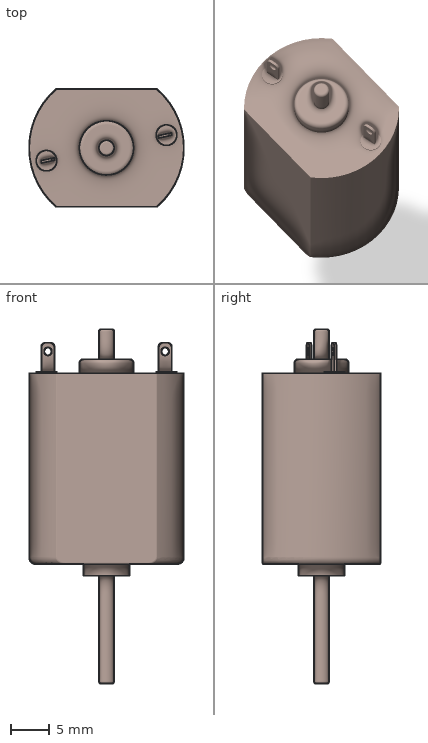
import cadquery as cq
import math

can_diameter = 20.25
can_width = 15.4
can_height = 24.95
flat_edge_radius = 0.25
can_bottom_radius = 0.93

top_boss_diameter = 7.1
top_boss_height = 1.8
top_boss_radius = 0.5
bottom_boss_diameter = 6
bottom_boss_height = 1.55
bottom_boss_radius = 0.1
shaft_diameter = 2.0
shaft_length = 46.3
shaft_top = 5.75
shaft_end_radius = 0.32

insulator_diameter = 2.7
insulator_height = 0.15
insulator_radial_place = 8.0
terminal_angle = math.degrees(math.atan2(3.6, 16.9))
tab_radial_place = 7.82
tab_width = 1.75
tab_thickness = 0.32
tab_height = 4.0
tab_corner_radius = 0.65
eyelet_diameter = 1.0
eyelet_height = 2.82


def make_can():
    flats = cq.Workplane("XY").box(can_diameter, can_width, can_height, centered=(True, True, False))
    can = cq.Workplane("XY").circle(can_diameter / 2).extrude(can_height)
    can = can.faces("<Z").edges().fillet(can_bottom_radius)
    can = can.intersect(flats)
    can = can.faces("<Y or >Y").edges("not >Z").fillet(flat_edge_radius)
    return can.translate((0, 0, -can_height))


def make_top_boss():
    boss = cq.Workplane("XY").circle(top_boss_diameter / 2).extrude(top_boss_height)
    return boss.faces(">Z").edges().fillet(top_boss_radius)


def make_bottom_boss():
    plane = cq.Workplane("XY").workplane(offset=-can_height)
    boss = plane.circle(bottom_boss_diameter / 2).extrude(-bottom_boss_height)
    return boss.faces("<Z").edges().fillet(bottom_boss_radius)


def make_shaft():
    plane = cq.Workplane("XY").workplane(offset=shaft_top - shaft_length)
    shaft = plane.circle(shaft_diameter / 2).extrude(shaft_length)
    return shaft.faces("<Z or >Z").edges().fillet(shaft_end_radius)


def make_terminal(angle):
    insulator = (
        cq.Workplane("XY")
        .center(insulator_radial_place, 0)
        .circle(insulator_diameter / 2)
        .extrude(insulator_height)
    )
    tab = (
        cq.Workplane("XY")
        .center(tab_radial_place, 0)
        .rect(tab_width, tab_thickness)
        .extrude(tab_height)
        .faces(">Z")
        .edges("|Y")
        .fillet(tab_corner_radius)
    )
    eyelet = (
        cq.Workplane("XZ")
        .center(tab_radial_place, eyelet_height)
        .circle(eyelet_diameter / 2)
        .extrude(tab_thickness, both=True)
    )
    return insulator.union(tab.cut(eyelet)).rotate((0, 0, 0), (0, 0, 1), angle)


result = make_can().union(make_top_boss()).union(make_bottom_boss()).union(make_shaft())
for half_turn in (0, 180):
    result = result.union(make_terminal(terminal_angle + half_turn))